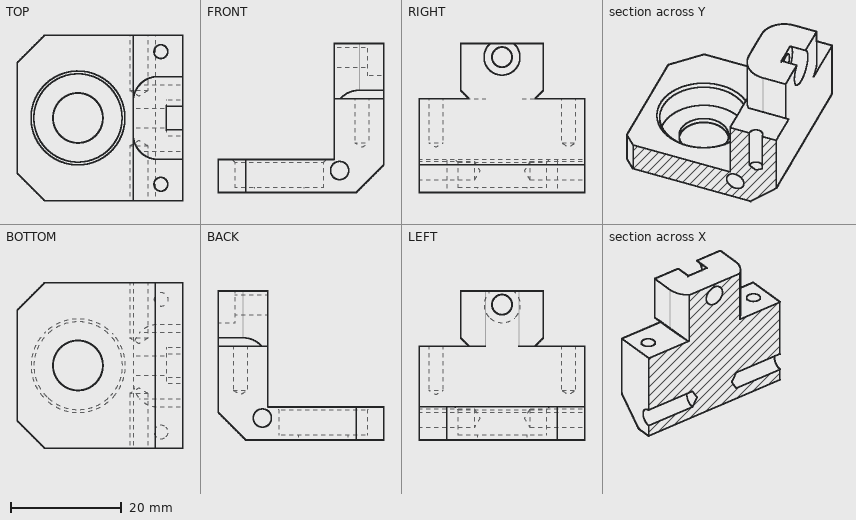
import cadquery as cq
import math

length = 30.0
width = 30.0
height = 27.0
plate_thickness = 6.0
plate_corner_chamfer = 5.0
wall_thickness = 9.0
wall_top = 17.0
heel_chamfer = 5.0
wall_face_x = length - wall_thickness

seat_x = 11.0
seat_diameter = 16.0
seat_depth = 5.0
seat_chamfer = 0.5
through_diameter = 9.0

lug_width = 15.0
lug_radius = 4.5
lug_undercut = 1.5
lug_hole_diameter = 3.6
lug_hole_z = 24.5
counterbore_diameter = 6.5
counterbore_depth = 3.0

drill_tip_angle = 118.0
top_hole_diameter = 2.5
top_hole_depth = 8.0
top_hole_x = 26.0
top_hole_offset = 12.0
side_hole_diameter = 3.3
side_hole_depth = 10.0
side_hole_x = 22.0
side_hole_z = 4.0


def make_body():
    """L-shaped bracket with a beveled heel and two cut plate corners."""
    profile = [
        (0, 0),
        (length - heel_chamfer, 0),
        (length, heel_chamfer),
        (length, wall_top),
        (wall_face_x, wall_top),
        (wall_face_x, plate_thickness),
        (0, plate_thickness),
    ]
    body = cq.Workplane("XZ").polyline(profile).close().extrude(width / 2, both=True)
    return body.edges("|Z and <X").chamfer(plate_corner_chamfer)


def make_lug():
    """Rounded lug, with beveled lower side edges where it meets the wall."""
    half_width = lug_width / 2
    foot_half_width = half_width - lug_undercut
    cross_section = [
        (-foot_half_width, wall_top),
        (foot_half_width, wall_top),
        (half_width, wall_top + lug_undercut),
        (half_width, height),
        (-half_width, height),
        (-half_width, wall_top + lug_undercut),
    ]
    beveled_bar = (
        cq.Workplane("YZ", origin=(wall_face_x, 0, 0))
        .polyline(cross_section).close().extrude(wall_thickness)
    )
    rounded_block = (
        cq.Workplane("XY", origin=(wall_face_x + wall_thickness / 2, 0, wall_top))
        .rect(wall_thickness, lug_width).extrude(height - wall_top)
        .edges("|Z and <X").fillet(lug_radius)
    )
    return beveled_bar.intersect(rounded_block)


def make_seat_cutter():
    """Stepped bore with a chamfered mouth, revolved about the seat axis."""
    seat_radius = seat_diameter / 2
    through_radius = through_diameter / 2
    floor_z = plate_thickness - seat_depth
    half_profile = [
        (0, 0),
        (through_radius, 0),
        (through_radius, floor_z),
        (seat_radius, floor_z),
        (seat_radius, plate_thickness - seat_chamfer),
        (seat_radius + seat_chamfer, plate_thickness),
        (0, plate_thickness),
    ]
    cutter = cq.Workplane("XZ").polyline(half_profile).close().revolve(360, (0, 0), (0, 1))
    return cutter.translate((seat_x, 0, 0))


def make_drill(mouth, direction, diameter, depth):
    """Drilled blind hole with a conical bottom; depth excludes the tip."""
    radius = diameter / 2
    tip = radius / math.tan(math.radians(drill_tip_angle / 2))
    half_profile = [(0, 0), (radius, 0), (radius, depth), (0, depth + tip)]
    across = cq.Vector(1, 0, 0)
    plane = cq.Plane(origin=mouth, xDir=across, normal=across.cross(cq.Vector(direction)))
    return cq.Workplane(plane).polyline(half_profile).close().revolve(360, (0, 0), (0, 1))


def make_lug_bore():
    """Hole along X through the lug; its rear counterbore breaks out through the lug top."""
    hole = (
        cq.Workplane("YZ", origin=(wall_face_x, 0, lug_hole_z))
        .circle(lug_hole_diameter / 2).extrude(wall_thickness)
    )
    counterbore = (
        cq.Workplane("YZ", origin=(length - counterbore_depth, 0, lug_hole_z))
        .circle(counterbore_diameter / 2).extrude(counterbore_depth)
    )
    return hole.union(counterbore)


result = make_body().union(make_lug()).cut(make_seat_cutter()).cut(make_lug_bore())

for side in (-1, 1):
    top_mouth = (top_hole_x, side * top_hole_offset, wall_top)
    side_mouth = (side_hole_x, side * width / 2, side_hole_z)
    result = result.cut(make_drill(top_mouth, (0, 0, -1), top_hole_diameter, top_hole_depth))
    result = result.cut(make_drill(side_mouth, (0, -side, 0), side_hole_diameter, side_hole_depth))